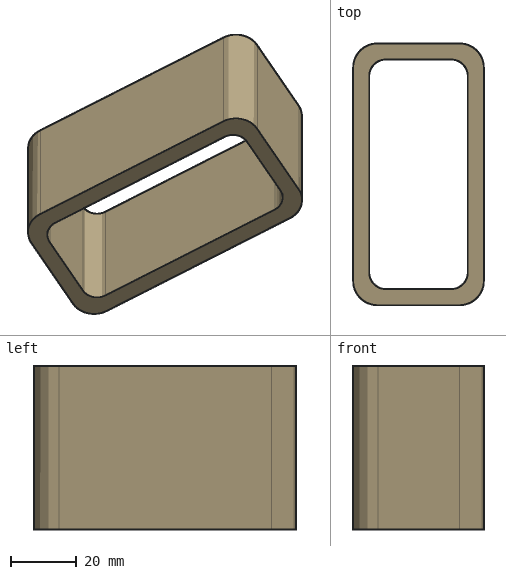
import cadquery as cq

width = 40.0
depth = 80.0
height = 50.0
wall = 5.0
outer_radius = 7.5
inner_radius = 5.0


def rounded_block(size_x, size_y, corner_radius):
    """Full-height block with its four vertical edges rounded."""
    block = cq.Workplane("XY").rect(size_x, size_y).extrude(height)
    return block.edges("|Z").fillet(corner_radius)


outer_body = rounded_block(width, depth, outer_radius)
through_opening = rounded_block(width - 2 * wall, depth - 2 * wall, inner_radius)

result = outer_body.cut(through_opening)